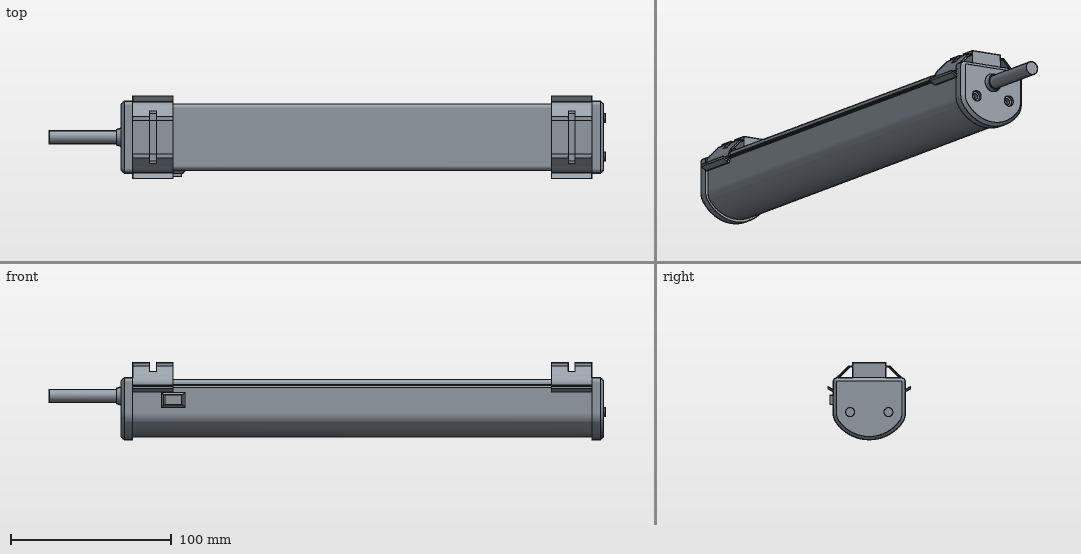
import math

import cadquery as cq

overall_length = 345.5
overall_width = 51.5
overall_height = 48.0

housing_half_width = 20.7
housing_top = 37.5
housing_bottom = 1.7
housing_top_radius = 2.8

side_bottom = 16.5
flank_bottom = 11.5
flank_inset = 1.5

groove_top = 34.5
groove_floor_bottom = 34.0
groove_bottom = 32.5
groove_depth = 1.7

cap_half_width = 22.5
cap_top = 38.7
cap_top_radius = 2.8
cap_length = 7.3
cap_chamfer = 2.0
left_cap_start = 44.5
screw_head_height = 1.0
right_cap_end = overall_length - screw_head_height

screw_spacing = 24.0
screw_height = 17.3
screw_head_diameter = 5.5
counterbore_diameter = 6.5
counterbore_depth = 2.0
screw_hole_diameter = 3.8
screw_hole_depth = 5.2

cable_height = 27.3
cable_diameter = 8.3
collar_length = 2.8
collar_tip_diameter = 9.5
collar_root_diameter = 11.5

switch_center_x = 77.0
switch_center_z = 25.0
switch_base_length = 15.0
switch_base_height = 9.3
switch_base_depth = 1.7
switch_base_taper = 40
button_length = 10.5
button_height = 6.0
button_reach = 24.5

clip_length = 25.2
clip_block_half_width = 10.5
arm_top = 46.0
shoulder_half_width = 12.8
bend_half_width = 18.5
bend_height = 40.0
arm_foot_height = 34.2
arm_thickness = 1.0
waist_height = 33.5
lip_root_half_width = 22.0
lip_root_height = 31.0
lip_tip_height = 33.0
lip_thickness = 1.5
slot_width = 4.0
slot_floor = 42.5


def arc_radius(across, along):
    """Radius of an arc that ends vertical after moving by the given distances in Y and Z."""
    return (across**2 + along**2) / (2 * across)


def bar(half_width, top, bottom, start, length):
    """Round-bellied bar along X."""
    flank = half_width - flank_inset
    flank_drop = side_bottom - flank_bottom
    flank_radius = arc_radius(flank_inset, flank_drop)
    return (
        cq.Workplane("YZ", origin=(start, 0, 0))
        .moveTo(-half_width, side_bottom)
        .lineTo(-half_width, top)
        .lineTo(half_width, top)
        .lineTo(half_width, side_bottom)
        .radiusArc((flank, flank_bottom), flank_radius)
        .threePointArc((0, bottom), (-flank, flank_bottom))
        .radiusArc((-half_width, side_bottom), flank_radius)
        .close()
        .extrude(length)
    )


def end_cap(start, outer_face):
    """Cap whose outer end face has a chamfered rim."""
    cap = bar(cap_half_width, cap_top, 0, start, cap_length)
    cap = cap.edges("|X and >Z").fillet(cap_top_radius)
    return cap.faces(outer_face).chamfer(cap_chamfer)


def side_grooves():
    """Two grooves with a sloping lower wall, one in each side of the housing."""
    floor = housing_half_width - groove_depth
    groove = (
        cq.Workplane("YZ", origin=(left_cap_start, 0, 0))
        .polyline([
            (housing_half_width, groove_top),
            (floor, groove_top),
            (floor, groove_floor_bottom),
            (housing_half_width, groove_bottom),
        ])
        .close()
        .extrude(right_cap_end - left_cap_start)
    )
    return groove.union(groove.mirror("XZ"))


def screw_circles(x, diameter, length):
    """Pair of cylinders along +X at the two cap screws."""
    return (
        cq.Workplane("YZ", origin=(x, 0, screw_height))
        .pushPoints([(-screw_spacing / 2, 0), (screw_spacing / 2, 0)])
        .circle(diameter / 2)
        .extrude(length)
    )


def cable():
    """Cable with a tapered collar against the left cap, revolved about its own axis."""
    collar_start = left_cap_start - collar_length
    return (
        cq.Workplane("XZ", origin=(0, 0, cable_height))
        .polyline([
            (0, 0),
            (0, cable_diameter / 2),
            (collar_start, cable_diameter / 2),
            (collar_start, collar_tip_diameter / 2),
            (left_cap_start, collar_root_diameter / 2),
            (left_cap_start, 0),
        ])
        .close()
        .revolve(360, (0, 0, 0), (1, 0, 0))
    )


def switch():
    """Tapered switch frame with a rectangular button."""
    center = (switch_center_x, -housing_half_width, switch_center_z)
    frame = (
        cq.Workplane("XZ", origin=center)
        .rect(switch_base_length, switch_base_height)
        .extrude(switch_base_depth, taper=switch_base_taper)
    )
    button = (
        cq.Workplane("XZ", origin=center)
        .rect(button_length, button_height)
        .extrude(button_reach - housing_half_width)
    )
    return frame.union(button)


def make_lamp():
    right_cap_start = right_cap_end - cap_length
    bar_start = left_cap_start + cap_length
    housing = bar(housing_half_width, housing_top, housing_bottom, bar_start, right_cap_start - bar_start)
    housing = housing.edges("|X and >Z").fillet(housing_top_radius)
    housing = housing.cut(side_grooves())
    return (
        housing
        .union(end_cap(left_cap_start, "<X"))
        .union(end_cap(right_cap_start, ">X"))
        .union(cable())
        .union(switch())
        .union(screw_circles(right_cap_end, screw_head_diameter, screw_head_height))
        .cut(screw_circles(left_cap_start, counterbore_diameter, counterbore_depth))
        .cut(screw_circles(left_cap_start, screw_hole_diameter, screw_hole_depth))
    )


def clip_arm(start):
    """Sheet arm on the +Y side, from the block over the housing edge to the lip."""
    outer = housing_half_width + arm_thickness
    lip_tip = overall_width / 2
    lip_bottom = lip_root_height - lip_thickness
    slope_shift = arm_thickness * math.sqrt(0.5)
    inner_bend = (bend_half_width - slope_shift, bend_height - slope_shift)
    inner_foot = (housing_half_width, housing_top - housing_top_radius)
    outer_radius = arc_radius(outer - bend_half_width, bend_height - arm_foot_height)
    inner_radius = arc_radius(inner_foot[0] - inner_bend[0], inner_bend[1] - inner_foot[1])
    return (
        cq.Workplane("YZ", origin=(start, 0, 0))
        .moveTo(0, arm_top)
        .lineTo(shoulder_half_width, arm_top)
        .lineTo(bend_half_width, bend_height)
        .radiusArc((outer, arm_foot_height), outer_radius)
        .lineTo(housing_half_width, waist_height)
        .lineTo(lip_root_half_width, lip_root_height)
        .lineTo(lip_tip, lip_tip_height)
        .lineTo(lip_tip, lip_tip_height - lip_thickness)
        .lineTo(lip_root_half_width, lip_bottom)
        .lineTo(lip_root_half_width - arm_thickness, lip_bottom)
        .lineTo(housing_half_width, groove_bottom)
        .lineTo(housing_half_width - arm_thickness, waist_height)
        .lineTo(housing_half_width, groove_top)
        .lineTo(*inner_foot)
        .radiusArc(inner_bend, -inner_radius)
        .lineTo(shoulder_half_width - slope_shift, arm_top - slope_shift)
        .lineTo(0, arm_top - slope_shift)
        .close()
        .extrude(clip_length)
    )


def make_clip(start):
    """Block on top of the housing with two arms and a slot across the top."""
    block_height = overall_height - housing_top
    block = cq.Workplane("XY", origin=(start, 0, housing_top)).box(
        clip_length, 2 * clip_block_half_width, block_height, centered=(False, True, False)
    )
    arm = clip_arm(start)
    slot_height = overall_height - slot_floor
    slot = cq.Workplane("XY", origin=(start + clip_length / 2, 0, slot_floor)).box(
        slot_width, overall_width, slot_height, centered=(True, True, False)
    )
    return block.union(arm).union(arm.mirror("XZ")).cut(slot)


lamp = make_lamp()
clip_starts = [left_cap_start + cap_length, right_cap_end - cap_length - clip_length]
clips = [make_clip(start) for start in clip_starts]
result = cq.Compound.makeCompound([body.solids().val() for body in [lamp, *clips]])